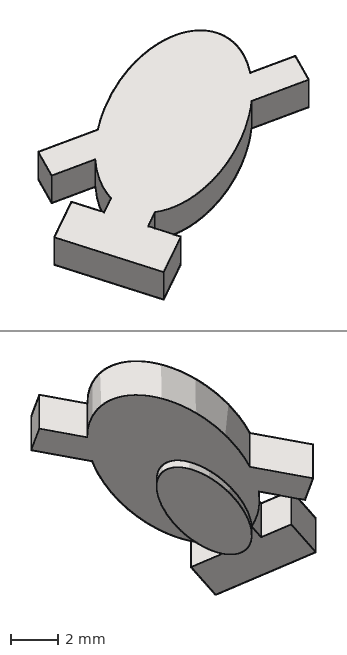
import cadquery as cq

plate_thickness = 2.0
body_half_width = 3.0
body_half_height = 5.0
foot_width = 5.0
foot_height = 2.0
foot_bottom_y = -7.5
foot_top_y = foot_bottom_y + foot_height
stem_width = 2.0

bar_length = 12.02
bar_width = 1.37
bar_angle = 46.2
bar_center = (-0.11, 0.28)

pad_half_width = body_half_width / 2
pad_half_height = 3.0
pad_thickness = 0.4
pad_center_y = foot_top_y + pad_half_height


def make_body():
    return cq.Workplane("XY").ellipse(body_half_width, body_half_height).extrude(plate_thickness)


def make_foot():
    """Foot block plus the stem that joins it to the middle of the body."""
    foot = (
        cq.Workplane("XY")
        .center(0, foot_bottom_y + foot_height / 2)
        .rect(foot_width, foot_height)
        .extrude(plate_thickness)
    )
    stem_length = -foot_top_y
    stem = (
        cq.Workplane("XY")
        .center(0, -stem_length / 2)
        .rect(stem_width, stem_length)
        .extrude(plate_thickness)
    )
    return foot.union(stem)


def make_bar():
    return (
        cq.Workplane("XY")
        .rect(bar_length, bar_width)
        .extrude(plate_thickness)
        .rotate((0, 0, 0), (0, 0, 1), bar_angle)
        .translate((*bar_center, 0))
    )


def make_pad():
    return (
        cq.Workplane("XY")
        .center(0, pad_center_y)
        .ellipse(pad_half_width, pad_half_height)
        .extrude(-pad_thickness)
    )


result = make_body().union(make_foot()).union(make_bar()).union(make_pad())